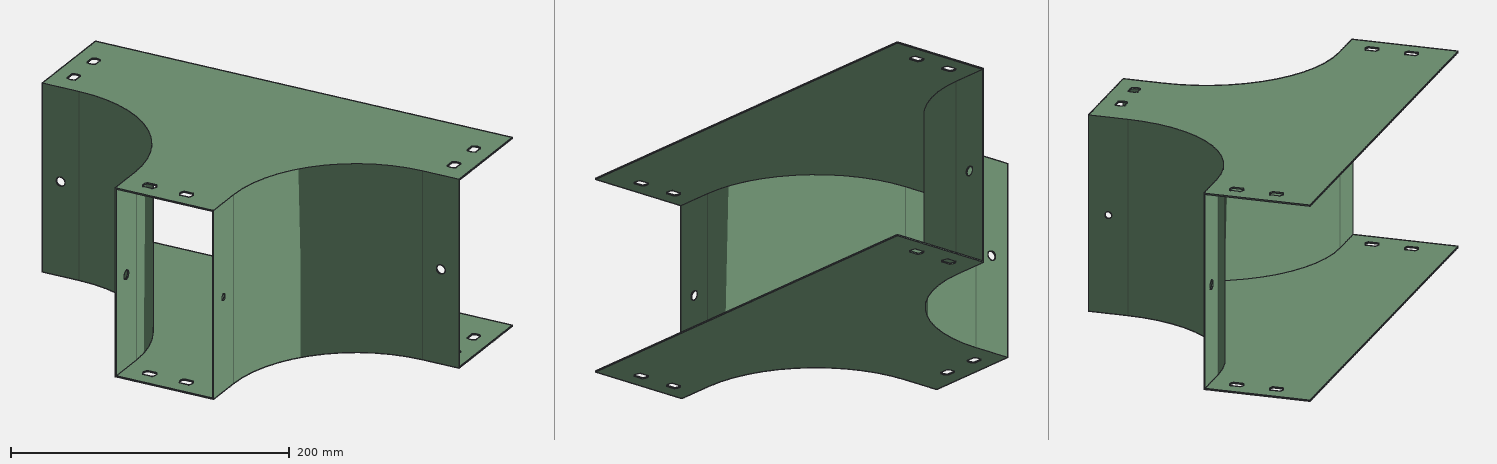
import cadquery as cq

length = 340.0
height = 150.0
channel_width = 80.2
collar = 30.0
sheet = 1.0

bend_radius = (length - channel_width) / 2 - collar
depth = channel_width + bend_radius + collar

slot_length = 10.2
slot_width = 7.0
slot_pitch = 30.0
slot_shift = 5.0
slot_side = 7.5
wall_hole = 7.0
small_wall_hole = 5.0

half_length = length / 2
half_width = channel_width / 2
run_front = depth - channel_width
run_middle = depth - half_width
hole_inset = collar / 2


def plate_outline(offset):
    """Tee outline with its two bends drawn in by offset from the outer face."""
    branch_side = half_width - offset
    front = run_front + offset
    radius = bend_radius + offset
    bend_start = half_length - collar
    diagonal = radius * 0.5 ** 0.5
    middle = (bend_start - diagonal, collar + diagonal)
    return (
        cq.Workplane("XY", origin=(0, 0, -height / 2))
        .moveTo(-branch_side, 0)
        .lineTo(branch_side, 0)
        .lineTo(branch_side, collar)
        .threePointArc(middle, (bend_start, front))
        .lineTo(half_length, front)
        .lineTo(half_length, depth)
        .lineTo(-half_length, depth)
        .lineTo(-half_length, front)
        .lineTo(-bend_start, front)
        .threePointArc((-middle[0], middle[1]), (-branch_side, collar))
        .close()
    )


def tee_channel():
    """Two tee plates joined by the two bent walls, open at the ends and the back."""
    outer = plate_outline(0).extrude(height)
    inside = (
        plate_outline(sheet)
        .extrude(height - 2 * sheet)
        .translate((0, 0, sheet))
    )
    return outer.cut(inside)


def plate_slot(centre, angle):
    """Cutter through both plates for one slot with bulged ends, turned by angle."""
    half_side = slot_side / 2
    half_slot = slot_length / 2
    edge = slot_width / 2
    return (
        cq.Workplane("XY")
        .moveTo(-half_side, -edge)
        .lineTo(half_side, -edge)
        .threePointArc((half_slot, 0), (half_side, edge))
        .lineTo(-half_side, edge)
        .threePointArc((-half_slot, 0), (-half_side, -edge))
        .close()
        .extrude(height)
        .rotate((0, 0, 0), (0, 0, 1), angle)
        .translate((centre[0], centre[1], -height / 2))
    )


def round_cutter(diameter, start, direction):
    """Short cylinder that passes through one wall, centred on it."""
    reach = collar
    base = cq.Vector(*start) - cq.Vector(*direction) * (reach / 2)
    return cq.Workplane(
        cq.Solid.makeCylinder(diameter / 2, reach, base, cq.Vector(*direction))
    )


result = tee_channel()

branch_slots = [(side * slot_pitch / 2 - slot_shift, hole_inset) for side in (-1, 1)]
for centre in branch_slots:
    result = result.cut(plate_slot(centre, 0))
run_slots = [
    (end * (half_length - hole_inset), run_middle + side * slot_pitch / 2 - slot_shift)
    for end in (-1, 1)
    for side in (-1, 1)
]
for centre in run_slots:
    result = result.cut(plate_slot(centre, 90))

for end in (-1, 1):
    run_hole_place = (end * (half_length - hole_inset), run_front, 0)
    result = result.cut(round_cutter(wall_hole, run_hole_place, (0, 1, 0)))
for side, diameter in ((-1, wall_hole), (1, small_wall_hole)):
    branch_hole_place = (side * half_width, hole_inset, 0)
    result = result.cut(round_cutter(diameter, branch_hole_place, (1, 0, 0)))